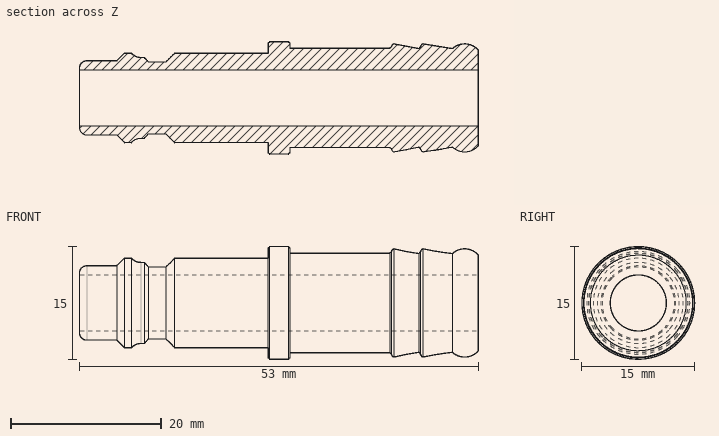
import cadquery as cq

length = 53.0
bore_radius = 7.4 / 2

tip_radius = 9.9 / 2
tip_rounding = 1.0

shank_radius = 11.9 / 2
collar_start = 5.0
collar_rim_start = collar_start + shank_radius - tip_radius
collar_rim_end = 6.95
step_radius = 10.8 / 2
step_start = 8.15
step_end = 8.65
flank_hollow = 0.15

groove_radius = 9.6 / 2
groove_start = 9.15
groove_end = 11.5
shank_start = groove_end + shank_radius - groove_radius

flange_radius = 15.0 / 2
flange_start = 25.05
flange_end = 28.0
flange_chamfer = 0.2

tail_radius = 13.25 / 2
barb_tip_radius = 7.2
barb_root_radius = 6.55
barb_starts = (41.25, 45.1)
barb_lead = 0.2
barb_shoulder_radius = 6.85
barb_rounding_end = 0.55
barb_rounding_sag = 0.05

bead_start = 49.55
bead_peak = (bead_start + length) / 2
bead_radius = 7.2
bead_end_radius = 6.35


def add_flange(profile):
    """Continue the profile over the stop flange with both rim edges chamfered."""
    rim_edge = flange_radius - flange_chamfer
    return (
        profile.lineTo(flange_start, rim_edge)
        .lineTo(flange_start + flange_chamfer, flange_radius)
        .lineTo(flange_end - flange_chamfer, flange_radius)
        .lineTo(flange_end, rim_edge)
        .lineTo(flange_end, tail_radius)
    )


def add_barb(profile, start, end):
    """Continue the profile over a barb: short lead, rounded crest, taper towards the hose end."""
    return (
        profile.lineTo(start + barb_lead, barb_shoulder_radius)
        .sagittaArc((start + barb_rounding_end, barb_tip_radius), barb_rounding_sag)
        .lineTo(end, barb_root_radius)
    )


profile = (
    cq.Workplane("XY")
    .moveTo(0, bore_radius)
    .lineTo(0, tip_radius - tip_rounding)
    .radiusArc((tip_rounding, tip_radius), tip_rounding)
    .lineTo(collar_start, tip_radius)
    .lineTo(collar_rim_start, shank_radius)
    .lineTo(collar_rim_end, shank_radius)
    .sagittaArc((step_start, step_radius), -flank_hollow)
    .lineTo(step_end, step_radius)
    .lineTo(groove_start, groove_radius)
    .lineTo(groove_end, groove_radius)
    .lineTo(shank_start, shank_radius)
    .lineTo(flange_start, shank_radius)
)
profile = add_flange(profile)
profile = profile.lineTo(barb_starts[0], tail_radius)
barb_ends = barb_starts[1:] + (bead_start,)
for barb_start, barb_end in zip(barb_starts, barb_ends):
    profile = add_barb(profile, barb_start, barb_end)
profile = (
    profile.threePointArc((bead_peak, bead_radius), (length, bead_end_radius))
    .lineTo(length, bore_radius)
    .close()
)

result = profile.revolve(360, (0, 0, 0), (1, 0, 0))